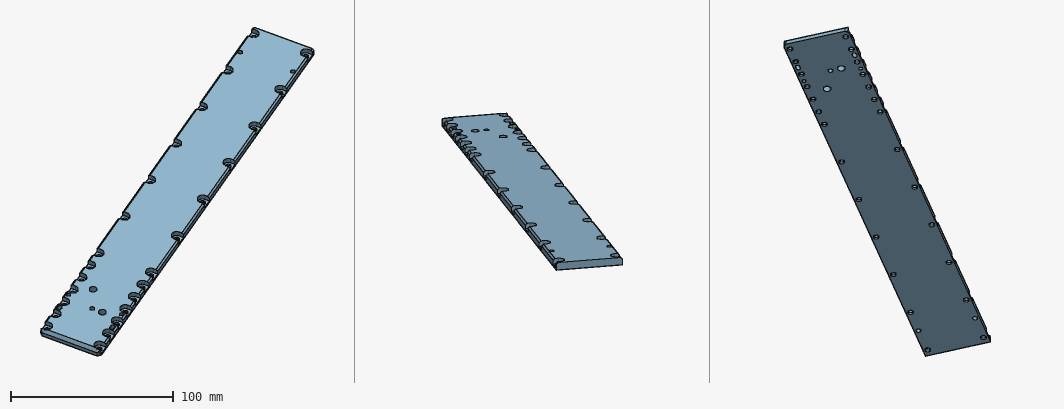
import cadquery as cq

LENGTH = 290.0
WIDTH = 42.0
THICKNESS = 5.0

SIDE_BEVEL = 1.2
FRONT_BEVEL = 2.0
FRONT_CORNER_CUT = 2.0

SCREW_X = 18.0
SCREW_END_MARGIN = 5.0
SCREW_DIAMETER = 3.5
POCKET_WIDTH = 6.5
POCKET_FLOOR = 1.5
WIDE_PITCHES = 6
FINE_PITCHES = 6
FINE_PER_WIDE = 3

PIN_X = 18.3
BACK_PIN_Y = 122.0
BACK_PIN_DIAMETER = 3.0
FRONT_PIN_Y = -110.5
FRONT_PIN_DIAMETER = 2.3
SLOT_Y = -123.0
SLOT_LENGTH = 4.0
SLOT_WIDTH = 2.5

DECK_HOLE_X = 7.0
DECK_HOLE_DIAMETER = 4.5
LEFT_DECK_HOLE_Y = -99.5
RIGHT_DECK_HOLE_Y = -114.3
CENTRE_HOLE_DIAMETER = 3.0

HALF_LENGTH = LENGTH / 2
HALF_WIDTH = WIDTH / 2
SIDES = (-1, 1)


def plate():
    """Flat bar with bevelled long top edges, cut front corners and a bevelled front top edge."""
    body = cq.Workplane("XY").box(WIDTH, LENGTH, THICKNESS, centered=(True, True, False))
    body = body.edges("|Y and >Z").chamfer(SIDE_BEVEL)
    body = body.edges("|Z and <Y").chamfer(FRONT_CORNER_CUT)
    front_wedge = (
        cq.Workplane("YZ")
        .moveTo(-HALF_LENGTH, THICKNESS - FRONT_BEVEL)
        .lineTo(-HALF_LENGTH + FRONT_BEVEL, THICKNESS)
        .lineTo(-HALF_LENGTH, THICKNESS)
        .close()
        .extrude(HALF_WIDTH, both=True)
    )
    return body.cut(front_wedge)


def through_hole(x, y, diameter):
    return cq.Workplane("XY").center(x, y).circle(diameter / 2).extrude(THICKNESS)


def through_slot(x, y):
    """Slot that is long along Y."""
    return cq.Workplane("XY").center(x, y).slot2D(SLOT_LENGTH, SLOT_WIDTH, 90).extrude(THICKNESS)


def screw_pocket(side, y):
    """U-shaped recess, round around the screw hole and open at the plate's side."""
    x = side * SCREW_X
    x_side = side * HALF_WIDTH
    radius = POCKET_WIDTH / 2
    recess = (
        cq.Workplane("XY", origin=(0, 0, POCKET_FLOOR))
        .moveTo(x_side, y - radius)
        .lineTo(x, y - radius)
        .threePointArc((x - side * radius, y), (x, y + radius))
        .lineTo(x_side, y + radius)
        .close()
        .extrude(THICKNESS - POCKET_FLOOR)
    )
    return recess.union(through_hole(x, y, SCREW_DIAMETER))


def screw_positions():
    """Y of each screw: wide pitches from the back end, then fine pitches up to the front end."""
    back_y = HALF_LENGTH - SCREW_END_MARGIN
    fine_pitch = 2 * back_y / (WIDE_PITCHES * FINE_PER_WIDE + FINE_PITCHES)
    wide_pitch = fine_pitch * FINE_PER_WIDE
    last_wide_y = back_y - WIDE_PITCHES * wide_pitch
    wide = [back_y - i * wide_pitch for i in range(WIDE_PITCHES)]
    fine = [last_wide_y - i * fine_pitch for i in range(FINE_PITCHES + 1)]
    return wide + fine


result = plate()

for side in SIDES:
    for screw_y in screw_positions():
        result = result.cut(screw_pocket(side, screw_y))
    pin_x = side * PIN_X
    result = result.cut(through_hole(pin_x, BACK_PIN_Y, BACK_PIN_DIAMETER))
    result = result.cut(through_hole(pin_x, FRONT_PIN_Y, FRONT_PIN_DIAMETER))
    result = result.cut(through_slot(pin_x, SLOT_Y))

result = result.cut(through_hole(-DECK_HOLE_X, LEFT_DECK_HOLE_Y, DECK_HOLE_DIAMETER))
result = result.cut(through_hole(DECK_HOLE_X, RIGHT_DECK_HOLE_Y, DECK_HOLE_DIAMETER))
result = result.cut(through_hole(0, RIGHT_DECK_HOLE_Y, CENTRE_HOLE_DIAMETER))